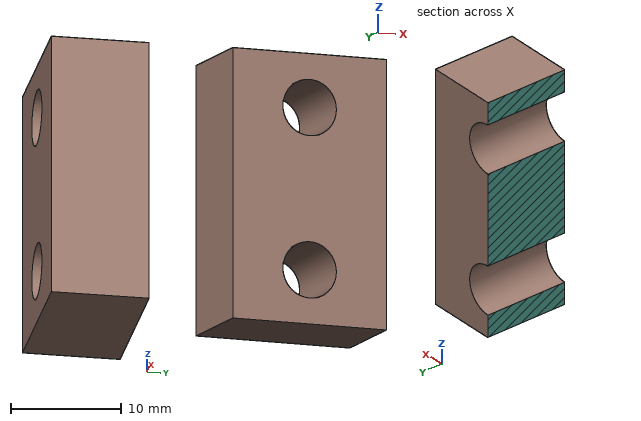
import cadquery as cq

width = 15.0
depth = 9.0
height = 25.0

hole_diameter = 5.2
hole_spacing = 15.0

block = cq.Workplane("XY").box(width, depth, height)

result = (
    block.faces("<Y")
    .workplane(centerOption="CenterOfBoundBox")
    .rarray(width, hole_spacing, 1, 2)
    .hole(hole_diameter)
)